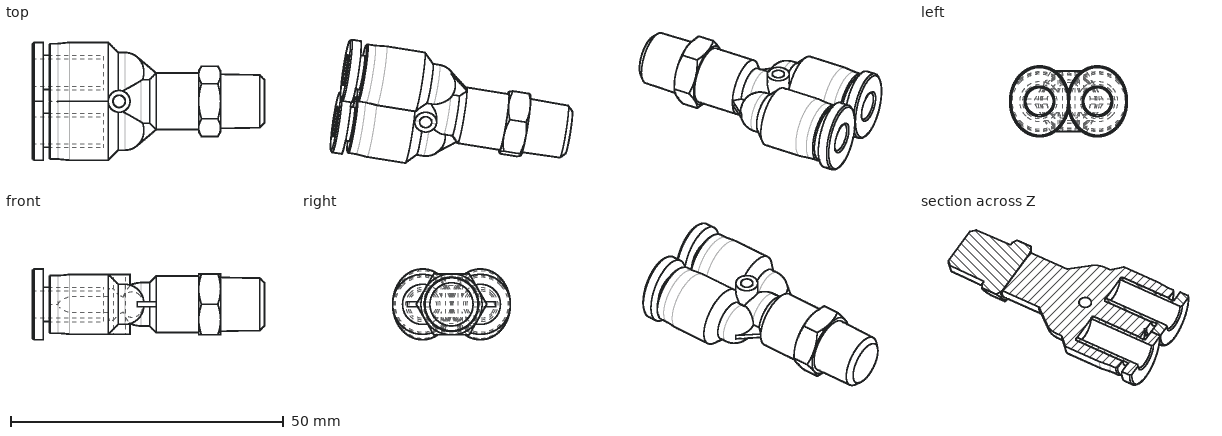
import cadquery as cq
import math


branch_spacing = 10.6
branch_offset = branch_spacing / 2
branch_radius = 11.0 / 2
collar_radius = 10.6 / 2
collar_chamfer = 0.25
collar_start = 3.05
collar_end = 4.65
taper_end = 6.7
shoulder_start = 13.87
neck_radius = 7.35 / 2
neck_start = shoulder_start + branch_radius - neck_radius
dome_start = 16.9
dome_fillet = 3.5

flange_thickness = 2.0
flange_half_height = 13.0 / 2
flange_half_width = branch_radius
sleeve_radius = 6.3 / 2
tube_radius = 5.0 / 2
sleeve_chamfer = 0.3
socket_end = 13.0

hub_radius = 8.0 / 2
hub_center = 19.8
stem_radius = 10.4 / 2
stem_cone_start = 21.45
stem_start = 22.65
stem_end = 30.45

eyelet_radius = 4.0 / 2
eyelet_center = shoulder_start + eyelet_radius
eyelet_hole_radius = 2.2 / 2

web_thickness = 0.9

hex_across_flats = 11.2
hex_length = 4.0
hex_end = stem_end + hex_length
hex_chamfer_angle = math.radians(30)
stud_end = 42.5
thread_base_radius = 9.95 / 2
thread_chamfer = 0.9
thread_tip_radius = 9.7 / 2


def revolve_about_x(profile):
    """Revolve a closed (x, radius) workplane profile about the X axis."""
    return profile.close().revolve(360, (0, 0, 0), (1, 0, 0))


def make_branch():
    """The +Y branch: stepped along X and ending in a fully rounded dome with a tiny flat tip."""
    profile = (
        cq.Workplane("XY")
        .moveTo(collar_start, 0)
        .lineTo(collar_start, collar_radius - collar_chamfer)
        .lineTo(collar_start + collar_chamfer, collar_radius)
        .lineTo(collar_end, collar_radius)
        .lineTo(taper_end, branch_radius)
        .lineTo(shoulder_start, branch_radius)
        .lineTo(neck_start, neck_radius)
        .lineTo(dome_start, neck_radius)
        .radiusArc((dome_start + dome_fillet, neck_radius - dome_fillet), dome_fillet)
        .lineTo(dome_start + dome_fillet, 0)
    )
    branch = revolve_about_x(profile).rotate((0, 0, 0), (1, 0, 0), 180)
    return branch.translate((0, branch_offset, 0))


def make_socket():
    """Blind socket of the +Y branch that takes a release sleeve."""
    return (
        cq.Workplane("YZ", origin=(collar_start, branch_offset, 0))
        .circle(sleeve_radius)
        .extrude(socket_end - collar_start)
    )


def make_stem():
    """Round stem with a hub that ends in a hemisphere between the branches."""
    profile = (
        cq.Workplane("XY")
        .moveTo(hub_center - hub_radius, 0)
        .radiusArc((hub_center, hub_radius), hub_radius)
        .lineTo(stem_cone_start, hub_radius)
        .lineTo(stem_start, stem_radius)
        .lineTo(stem_end, stem_radius)
        .lineTo(stem_end, 0)
    )
    return revolve_about_x(profile)


def make_web():
    """Flat web whose edges leave the stem corners tangent to the domes."""
    dome_arc_y = branch_offset + neck_radius - dome_fillet
    run = stem_start - dome_start
    rise = stem_radius - dome_arc_y
    tangent_angle = math.atan2(rise, run) + math.acos(dome_fillet / math.hypot(run, rise))
    tangent_x = dome_start + dome_fillet * math.cos(tangent_angle)
    tangent_y = dome_arc_y + dome_fillet * math.sin(tangent_angle)
    return (
        cq.Workplane("XY")
        .moveTo(tangent_x, -tangent_y)
        .lineTo(stem_start, -stem_radius)
        .lineTo(stem_start, stem_radius)
        .lineTo(tangent_x, tangent_y)
        .close()
        .extrude(web_thickness / 2, both=True)
    )


def make_eyelet_cylinder(radius):
    """Cylinder on the eyelet axis, as tall as the branches."""
    return cq.Workplane("XY").center(eyelet_center, 0).circle(radius).extrude(branch_radius, both=True)


def side_of_mid_plane(side):
    """Block larger than any body, lying wholly on the -Y (-1) or +Y (+1) side of the Y = 0 plane."""
    block_size = 2 * stud_end
    return cq.Workplane("XY").box(block_size, block_size, block_size).translate((0, side * block_size / 2, 0))


def make_housing():
    """Plastic housing: the +Y half with its branch, socket, web and eyelet, mirrored about Y = 0."""
    half = (
        make_stem()
        .union(make_branch())
        .union(make_eyelet_cylinder(eyelet_radius))
        .union(make_web())
        .cut(make_eyelet_cylinder(eyelet_hole_radius))
        .cut(make_socket())
        .intersect(side_of_mid_plane(1))
    )
    return half.union(half.mirror("XZ"))


def make_release_sleeve(side):
    """Sleeve with an oval flange; side is -1 or +1, the flange is trimmed flat at Y = 0."""
    sleeve = (
        cq.Workplane("YZ")
        .ellipse(flange_half_width, flange_half_height)
        .extrude(flange_thickness)
        .faces("<X")
        .chamfer(sleeve_chamfer)
        .union(cq.Workplane("YZ").circle(sleeve_radius).extrude(socket_end))
        .cut(cq.Workplane("YZ").circle(tube_radius).extrude(socket_end))
    )
    mouth = (
        cq.Workplane("XY")
        .lineTo(0, tube_radius + sleeve_chamfer)
        .lineTo(sleeve_chamfer, tube_radius)
        .lineTo(sleeve_chamfer, 0)
    )
    sleeve = sleeve.cut(revolve_about_x(mouth)).translate((0, side * branch_offset, 0))
    return sleeve.intersect(side_of_mid_plane(side))


def make_threaded_stud():
    """Hexagon with both ends chamfered, and the tapered thread envelope behind it."""
    flat_radius = hex_across_flats / 2
    corner_radius = flat_radius / math.cos(math.pi / 6)
    chamfer_length = (corner_radius - flat_radius) * math.tan(hex_chamfer_angle)
    hexagon = (
        cq.Workplane("YZ", origin=(stem_end, 0, 0))
        .polygon(6, 2 * corner_radius)
        .extrude(hex_length)
    )
    chamfer_envelope = (
        cq.Workplane("XY")
        .moveTo(stem_end, 0)
        .lineTo(stem_end, flat_radius)
        .lineTo(stem_end + chamfer_length, corner_radius)
        .lineTo(hex_end - chamfer_length, corner_radius)
        .lineTo(hex_end, flat_radius)
        .lineTo(hex_end, 0)
    )
    thread = (
        cq.Workplane("XY")
        .moveTo(hex_end, 0)
        .lineTo(hex_end, thread_base_radius)
        .lineTo(stud_end - thread_chamfer, thread_tip_radius)
        .lineTo(stud_end, thread_tip_radius - thread_chamfer)
        .lineTo(stud_end, 0)
    )
    return hexagon.intersect(revolve_about_x(chamfer_envelope)).union(revolve_about_x(thread))


housing = make_housing()
release_sleeves = [make_release_sleeve(side) for side in (-1, 1)]
threaded_stud = make_threaded_stud()

result = cq.Compound.makeCompound(
    [housing.val(), *[sleeve.val() for sleeve in release_sleeves], threaded_stud.val()]
)